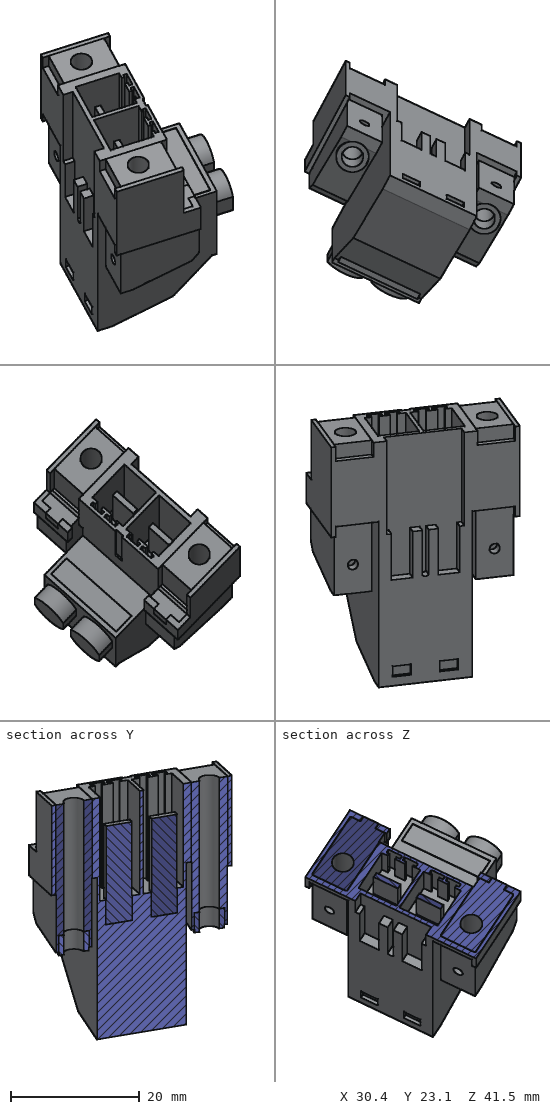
import cadquery as cq

SIDES = (-1, 1)

height = 41.45
width = 30.45
half_width = width / 2
total_depth = 23.1

core_half = 7.55
plug_back = 11.3
block_back = 20.05
block_top = 24.3
block_bottom = 9.33
ledge_y = 19.25
knee_y = 12.7
knee_z = 2.55
toe_y = 2.5

front_wall = 1.0
side_wall = 0.75
insert_outer = half_width - side_wall
insert_width = 6.1
insert_inner = insert_outer - insert_width
insert_x = (insert_outer + insert_inner) / 2
front_wall_bottom = 27.98
side_wall_bottom = 26.25
front_notch_depth = 2.4
shelf_z = 31.35
flange_back = 14.18
rear_wall = 1.08
rear_wall_inner = 8.1
tongue_inner = 10.15
tongue_outer = 12.73
tongue_depth = 2.5
rear_wall_front = flange_back - rear_wall

insert_bottom = 15.95
tower_back = 10.32
ridge_peak_y = 10.8
ridge_height = 0.15
insert_bevel_z = 19.8
insert_knee_y = 12.97
insert_knee_z = 18.4
insert_toe_y = 3.03
bore_y = 5.22
bore_radius = 1.65
pin_hole_radius = 0.83
pin_hole_depth = 1.65
pin_hole_z = 20.8

bushing_radius = 2.53
bushing_height = 3.3

chamber_front = 2.4
chamber_back = 9.7
chamber_back_inner = 9.9
chamber_inner = 0.35
chamber_outer = 7.0
chamber_floor = 24.05
slot_back = 10.75
slot_front = 10.2
slot_inner = 1.2
slot_outer = 6.42
mouth_inner = 1.7
mouth_outer = 5.93
key_x = 3.8
key_neck_width = 0.55
key_head_width = 1.8
key_head_front = 9.7

contact_width = 4.35
contact_thickness = 0.95
contact_front = 5.22
contact_top = 36.48
contact_bottom = 19.9

recess_half = 6.25
recess_depth = 1.6
recess_bottom = 25.7
finger_slot_inner = 2.07
finger_slot_outer = 5.5
finger_slot_bottom = 17.9
center_slot_width = 1.05
center_slot_sag = 0.25
window_inner = 2.32
window_outer = 5.3
window_bottom = 1.55
window_top = 3.3
window_depth = 0.62
back_groove_width = 1.4
back_groove_depth = 0.3
back_groove_bottom = 29.0
label_half = 6.9
label_front = 15.75
label_depth = 0.12
rib_bottom = 8.35
rib_front = 16.6

screw_x = 3.8
screw_radius = 3.4
screw_flat_half = 3.03
screw_z = 19.3


def box(x_range, y_range, z_range):
    """Box given by its limits along X, Y and Z; the X limits may come in either order."""
    x0, x1 = sorted(x_range)
    y0, y1 = y_range
    z0, z1 = z_range
    return cq.Workplane("XY").box(x1 - x0, y1 - y0, z1 - z0, centered=False).translate((x0, y0, z0))


def side_profile(points, x_range):
    """Solid with the given (Y, Z) outline, spanning the X limits."""
    x0, x1 = sorted(x_range)
    return cq.Workplane("YZ", origin=(x0, 0, 0)).polyline(points).close().extrude(x1 - x0)


def core():
    outline = [
        (0, 0), (0, height), (plug_back, height), (plug_back, block_top), (block_back, block_top),
        (block_back, block_bottom), (ledge_y, block_bottom), (knee_y, knee_z), (toe_y, 0),
    ]
    body = side_profile(outline, (-core_half, core_half))
    rib = box((-label_half, label_half), (rib_front, ledge_y), (rib_bottom, block_bottom))
    return body.union(rib)


def flange_shell(side):
    """Walls around one insert, open at the top and bottom."""
    outer = side * half_width
    shell = box((side * core_half, side * insert_inner), (0, plug_back), (front_wall_bottom, height))
    shell = shell.union(box((side * core_half, outer), (0, front_wall), (front_wall_bottom, height)))
    notch = box(
        (side * insert_inner, side * insert_outer), (0, front_wall), (height - front_notch_depth, height)
    )
    shell = shell.cut(notch)
    wall_x = (side * insert_outer, outer)
    shell = shell.union(box(wall_x, (0, plug_back), (side_wall_bottom, height)))
    shell = shell.union(box(wall_x, (plug_back, flange_back), (side_wall_bottom, shelf_z)))
    rear = box(
        (side * rear_wall_inner, outer), (rear_wall_front, flange_back), (side_wall_bottom, shelf_z)
    )
    return shell.union(rear).cut(tongue(side))


def tongue(side):
    """Part of the insert that fills the opening in the rear wall."""
    return box(
        (side * tongue_inner, side * tongue_outer),
        (rear_wall_front, flange_back),
        (shelf_z - tongue_depth, shelf_z),
    )


def chamber(side):
    """Contact chamber with its keyway, T-shaped key left standing."""
    outline = [
        (chamber_inner, chamber_front), (chamber_outer, chamber_front), (chamber_outer, chamber_back),
        (mouth_outer, chamber_back), (mouth_outer, slot_front), (slot_outer, slot_front),
        (slot_outer, slot_back), (slot_inner, slot_back), (slot_inner, slot_front),
        (mouth_inner, slot_front), (mouth_inner, chamber_back_inner), (chamber_inner, chamber_back_inner),
    ]
    outline = [(side * x, y) for x, y in outline]
    depth = height - chamber_floor
    hollow = cq.Workplane("XY", origin=(0, 0, chamber_floor)).polyline(outline).close().extrude(depth)
    z_range = (chamber_floor, height)
    for width, y_range in (
        (key_neck_width, (slot_front, slot_back)),
        (key_head_width, (key_head_front, slot_front)),
    ):
        x_range = (side * key_x - width / 2, side * key_x + width / 2)
        hollow = hollow.cut(box(x_range, y_range, z_range))
    return hollow


def front_recess():
    depth = (0, recess_depth)
    recess = box((-recess_half, recess_half), depth, (recess_bottom, height))
    for side in SIDES:
        finger_slot = (side * finger_slot_inner, side * finger_slot_outer)
        recess = recess.union(box(finger_slot, depth, (finger_slot_bottom, recess_bottom)))
    return recess.union(center_slot())


def center_slot():
    """Slot between the two fingers, with a rounded bottom."""
    half = center_slot_width / 2
    arc_end_z = finger_slot_bottom + center_slot_sag
    slot = cq.Workplane("XZ").moveTo(-half, recess_bottom).lineTo(-half, arc_end_z)
    slot = slot.threePointArc((0, finger_slot_bottom), (half, arc_end_z)).lineTo(half, recess_bottom)
    return slot.close().extrude(-recess_depth)


def contact(side):
    x = side * key_x
    half = contact_width / 2
    y_range = (contact_front, contact_front + contact_thickness)
    return box((x - half, x + half), y_range, (contact_bottom, contact_top))


def housing():
    body = core()
    for side in SIDES:
        body = body.union(flange_shell(side))
    body = body.cut(front_recess())
    for side in SIDES:
        body = body.cut(chamber(side)).cut(contact(side))
        window = box(
            (side * window_inner, side * window_outer), (0, window_depth), (window_bottom, window_top)
        )
        body = body.cut(window)
    half_groove = back_groove_width / 2
    back_groove = box(
        (-half_groove, half_groove), (plug_back - back_groove_depth, plug_back), (back_groove_bottom, height)
    )
    label = box(
        (-label_half, label_half), (label_front, ledge_y), (block_top - label_depth, block_top)
    )
    return body.cut(back_groove).cut(label)


def bushing(side):
    ring = cq.Workplane("XY", origin=(side * insert_x, bore_y, insert_bottom))
    return ring.circle(bushing_radius).circle(bore_radius).extrude(bushing_height)


def flange_insert(side):
    """Insert with a bore for the flange screw and a seat for the bushing."""
    outline = [
        (front_wall, insert_bottom), (front_wall, height), (tower_back, height), (tower_back, shelf_z),
        (ridge_peak_y, shelf_z + ridge_height), (plug_back, shelf_z), (rear_wall_front, shelf_z),
        (rear_wall_front, side_wall_bottom), (flange_back, side_wall_bottom),
        (flange_back, insert_bevel_z), (insert_knee_y, insert_knee_z), (insert_toe_y, insert_bottom),
    ]
    body = side_profile(outline, (side * insert_inner, side * insert_outer)).union(tongue(side))
    center = cq.Workplane("XY", origin=(side * insert_x, bore_y, insert_bottom))
    bore = center.circle(bore_radius).extrude(height - insert_bottom)
    seat = center.circle(bushing_radius).extrude(bushing_height)
    pin_hole = cq.Workplane("XZ", origin=(side * insert_x, front_wall, pin_hole_z))
    pin_hole = pin_hole.circle(pin_hole_radius).extrude(-pin_hole_depth)
    return body.cut(bore).cut(seat).cut(pin_hole)


def rear_screw(side):
    """Round head with two flat sides on the back of the rear block."""
    x = side * screw_x
    head = cq.Workplane("XZ", origin=(x, block_back, screw_z)).circle(screw_radius)
    head = head.extrude(block_back - total_depth)
    flats = box(
        (x - screw_flat_half, x + screw_flat_half),
        (block_back, total_depth),
        (screw_z - screw_radius, screw_z + screw_radius),
    )
    return head.intersect(flats)


bodies = [housing().solids().val()]
for side in SIDES:
    bodies.append(contact(side).solids().val())
    bodies.append(flange_insert(side).solids().val())
    bodies.append(bushing(side).solids().val())
    bodies.append(rear_screw(side).solids().val())

result = cq.Compound.makeCompound(bodies)